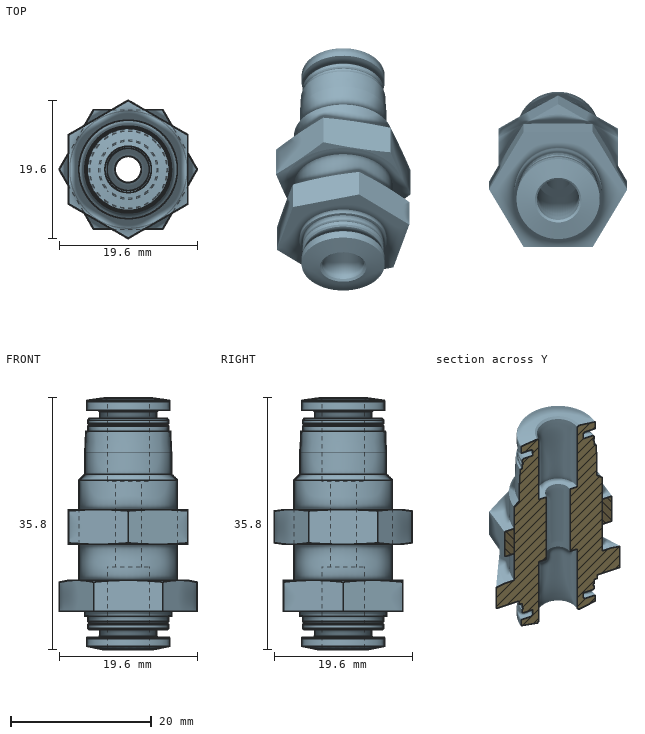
import cadquery as cq

total_height = 35.8
hex_across_corners = 19.62
hex_face_radius = 16.7 / 2
thread_radius = 14.0 / 2

hex_bottom = 5.48
hex_top = 9.9
hex_chamfer_drop = 0.3

nut_bottom = 15.0
nut_top = 19.95
nut_chamfer_drop = 0.2
cutter_margin = 0.35

mouth_radius = 6.6 / 2
rim_radius = 11.8 / 2
rim_edge_depth = 0.55
rim_inner_depth = 1.8
rim_chamfer = 0.07
rim_chamfer_height = 0.18
neck_radius = 8.1 / 2
neck_flare = 0.18
collar_radius = 11.5 / 2
collar_depth = 2.85
bottom_collar_chamfer = 0.2
top_collar_chamfer = 0.3
groove_depth = 3.6
groove_width = 0.43
groove_inset = 0.2
bottom_collar_end = 4.8
top_collar_end = 4.75

lower_body_radius = 12.4 / 2
upper_body_radius = 12.3 / 2
taper_top_radius = 12.03 / 2
taper_bottom = 28.1
shoulder_top = 24.95
shoulder_bottom = shoulder_top - (thread_radius - upper_body_radius)

tube_radius = 6.0 / 2
tube_depth = 11.8
passage_radius = 3.7 / 2
mouth_chamfer = mouth_radius - tube_radius


def bottom_rim():
    """Radius and depth of the bottom rim, whose upper edge faces the neck."""
    return [
        (rim_radius, rim_edge_depth),
        (rim_radius, rim_inner_depth - rim_chamfer_height),
        (rim_radius - rim_chamfer, rim_inner_depth),
    ]


def top_rim():
    """Radius and depth of the top rim, whose upper edge meets the end face."""
    return [
        (rim_radius - rim_chamfer, rim_edge_depth - rim_chamfer_height),
        (rim_radius, rim_edge_depth),
        (rim_radius, rim_inner_depth),
    ]


def end_profile(rim, collar_chamfer, collar_end):
    """Radius and depth of one fitting end, from its mouth to the end of its collar."""
    groove_middle = groove_depth + groove_width / 2
    return [
        (tube_radius, mouth_chamfer),
        (mouth_radius, 0),
        *rim,
        (neck_radius + neck_flare, rim_inner_depth),
        (neck_radius, rim_inner_depth + neck_flare),
        (neck_radius, collar_depth),
        (collar_radius - collar_chamfer, collar_depth),
        (collar_radius, collar_depth + collar_chamfer),
        (collar_radius, groove_depth),
        (collar_radius - groove_inset, groove_middle),
        (collar_radius, groove_depth + groove_width),
        (collar_radius, collar_end),
    ]


def hexagon(bottom, top, turn):
    """Hexagonal prism about Z, turned by an angle in degrees."""
    base = cq.Workplane("XY").workplane(offset=bottom)
    prism = base.polygon(6, hex_across_corners).extrude(top - bottom)
    return prism.rotate((0, 0, 0), (0, 0, 1), turn)


def corner_cone(face_z, drop, direction):
    """Ring that bevels hexagon corners at a face; direction is +1 for a top face, -1 for a bottom face."""
    corner_radius = hex_across_corners / 2
    slope = drop / (corner_radius - hex_face_radius)
    outer_radius = corner_radius + cutter_margin
    outer_z = face_z - direction * slope * (outer_radius - hex_face_radius)
    section = [(hex_face_radius, face_z), (outer_radius, face_z), (outer_radius, outer_z)]
    return cq.Workplane("XZ").polyline(section).close().revolve(360, (0, 0, 0), (0, 1, 0))


def make_housing():
    bottom_end = end_profile(bottom_rim(), bottom_collar_chamfer, bottom_collar_end)
    top_profile = end_profile(top_rim(), top_collar_chamfer, top_collar_end)
    top_end = [(radius, total_height - depth) for radius, depth in reversed(top_profile)]
    middle = [
        (lower_body_radius, bottom_collar_end),
        (lower_body_radius, hex_bottom),
        (thread_radius, hex_bottom),
        (thread_radius, shoulder_bottom),
        (upper_body_radius, shoulder_top),
        (upper_body_radius, taper_bottom),
        (taper_top_radius, total_height - top_collar_end),
    ]
    bore = [
        (tube_radius, total_height - tube_depth),
        (passage_radius, total_height - tube_depth),
        (passage_radius, tube_depth),
        (tube_radius, tube_depth),
    ]
    section = bottom_end + middle + top_end + bore
    barrel = cq.Workplane("XZ").polyline(section).close().revolve(360, (0, 0, 0), (0, 1, 0))

    flange = hexagon(hex_bottom, hex_top, 0).cut(corner_cone(hex_top, hex_chamfer_drop, 1))
    core = cq.Workplane("XY").workplane(offset=hex_bottom).circle(thread_radius).extrude(hex_top - hex_bottom)
    return barrel.union(flange.cut(core))


def make_lock_nut():
    nut = hexagon(nut_bottom, nut_top, 30)
    nut = nut.cut(corner_cone(nut_top, nut_chamfer_drop, 1))
    nut = nut.cut(corner_cone(nut_bottom, nut_chamfer_drop, -1))
    bore = cq.Workplane("XY").workplane(offset=nut_bottom).circle(thread_radius).extrude(nut_top - nut_bottom)
    return nut.cut(bore)


housing = make_housing()
lock_nut = make_lock_nut()
result = cq.Compound.makeCompound([housing.val(), lock_nut.val()])